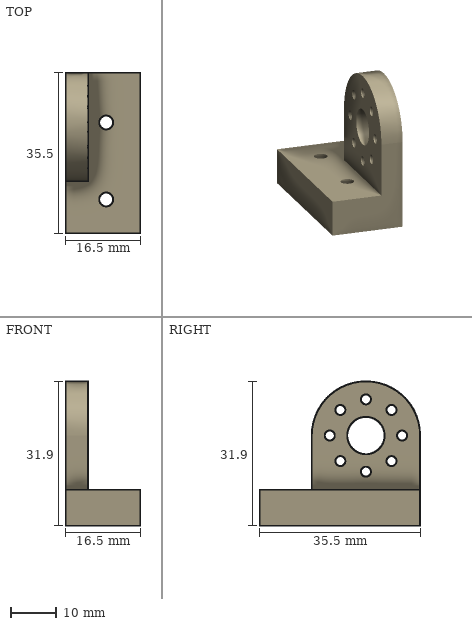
import cadquery as cq

base_width = 16.5
base_length = 35.5
base_height = 8.0

plate_thickness = 5.0
plate_radius = 12.0
part_height = 31.95
plate_center_y = base_length - plate_radius
plate_center_z = part_height - plate_radius

bore_diameter = 8.2
ring_hole_count = 8
ring_hole_diameter = 2.15
ring_radius = 8.0

mount_hole_diameter = 3.0
mount_hole_x = 8.98
mount_hole_front_y = 7.5
mount_hole_spacing = 17.0


def make_base():
    return cq.Workplane("XY").box(base_width, base_length, base_height, centered=False)


def make_plate():
    """Plate outline in the YZ plane: straight sides closed by a half circle."""
    return (
        cq.Workplane("YZ")
        .moveTo(plate_center_y - plate_radius, 0)
        .lineTo(base_length, 0)
        .lineTo(base_length, plate_center_z)
        .threePointArc((plate_center_y, part_height), (plate_center_y - plate_radius, plate_center_z))
        .close()
        .extrude(plate_thickness)
    )


def make_plate_holes():
    """Cutters along X for the bore and its ring of holes."""
    center = cq.Workplane("YZ").center(plate_center_y, plate_center_z)
    bore = center.circle(bore_diameter / 2).extrude(plate_thickness)
    ring = (
        center.polarArray(ring_radius, 0, 360, ring_hole_count)
        .circle(ring_hole_diameter / 2)
        .extrude(plate_thickness)
    )
    return bore.union(ring)


def make_mount_holes():
    """Cutters along Z for the two mounting holes."""
    hole_centers = [
        (mount_hole_x, mount_hole_front_y),
        (mount_hole_x, mount_hole_front_y + mount_hole_spacing),
    ]
    return (
        cq.Workplane("XY")
        .pushPoints(hole_centers)
        .circle(mount_hole_diameter / 2)
        .extrude(base_height)
    )


result = make_base().union(make_plate()).cut(make_plate_holes()).cut(make_mount_holes())